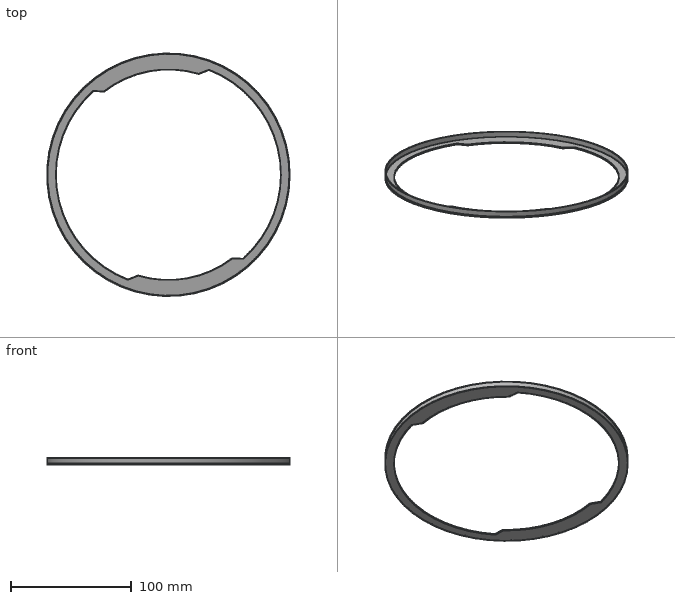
import cadquery as cq
import math

outer_diameter = 201.0
wall_inner_diameter = 200.0
height = 5.5
floor_thickness = 1.0
opening_radius = 93.0

tab_tip_radius = 87.0
tab_half_angle_at_tip = 27.0
tab_half_angle_at_root = 31.5
upper_tab_angle = 100.3
upper_tab_extra_tip_angle = 0.6

tabs = (
    (upper_tab_angle, upper_tab_extra_tip_angle),
    (upper_tab_angle + 180.0, 0.0),
)


def polar_point(radius, angle):
    """Point at the given radius and angle in degrees."""
    radians = math.radians(angle)
    return (radius * math.cos(radians), radius * math.sin(radians))


def make_ring():
    """Flat floor with a thin upright wall along its rim."""
    blank = cq.Workplane("XY").circle(outer_diameter / 2).extrude(height)
    recess = (
        cq.Workplane("XY")
        .workplane(offset=floor_thickness)
        .circle(wall_inner_diameter / 2)
        .extrude(height - floor_thickness)
    )
    return blank.cut(recess)


def make_opening():
    """Through opening: wide arcs joined by sloped tab sides to narrower tab arcs."""
    first_root = polar_point(opening_radius, upper_tab_angle - tab_half_angle_at_root)
    outline = cq.Workplane("XY").moveTo(*first_root)
    for angle, extra_tip_angle in tabs:
        tip_start = polar_point(tab_tip_radius, angle - tab_half_angle_at_tip)
        tip_middle = polar_point(tab_tip_radius, angle)
        tip_end = polar_point(tab_tip_radius, angle + tab_half_angle_at_tip + extra_tip_angle)
        root_end = polar_point(opening_radius, angle + tab_half_angle_at_root)
        gap_middle = polar_point(opening_radius, angle + 90.0)
        next_root = polar_point(opening_radius, angle + 180.0 - tab_half_angle_at_root)
        outline = outline.lineTo(*tip_start)
        outline = outline.threePointArc(tip_middle, tip_end)
        outline = outline.lineTo(*root_end)
        outline = outline.threePointArc(gap_middle, next_root)
    return outline.close().extrude(floor_thickness)


result = make_ring().cut(make_opening())